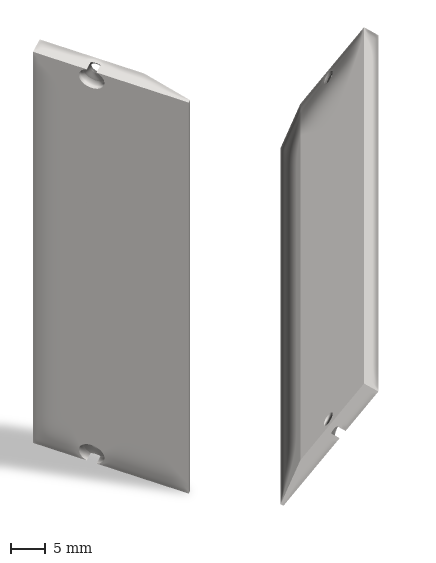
import cadquery as cq

width = 24.3
thickness = 2.5
height = 89.0

taper_length = 8.0
tip_thickness = 0.5

hole_x = -3.0
hole_edge_distance = 1.85
head_radius = 2.0
head_depth = 1.5
cone_height = 0.55
shank_radius = 1.1


def make_plate():
    """Extrude the tapered XY profile along the height."""
    left = -width / 2
    right = width / 2
    profile = [
        (left, 0),
        (right, 0),
        (right, tip_thickness),
        (right - taper_length, thickness),
        (left, thickness),
    ]
    return cq.Workplane("XY").workplane(offset=-height / 2).polyline(profile).close().extrude(height)


def make_screw_cutter(z):
    """Cylindrical head recess with a conical floor, continuing as a through shank hole."""
    half_section = [
        (0, 0),
        (head_radius, 0),
        (head_radius, head_depth),
        (shank_radius, head_depth + cone_height),
        (shank_radius, thickness),
        (0, thickness),
    ]
    cutter = cq.Workplane("XY").polyline(half_section).close().revolve(360, (0, 0), (0, 1))
    return cutter.translate((hole_x, 0, z))


hole_z = height / 2 - hole_edge_distance

result = make_plate()
for side in (-1, 1):
    result = result.cut(make_screw_cutter(side * hole_z))